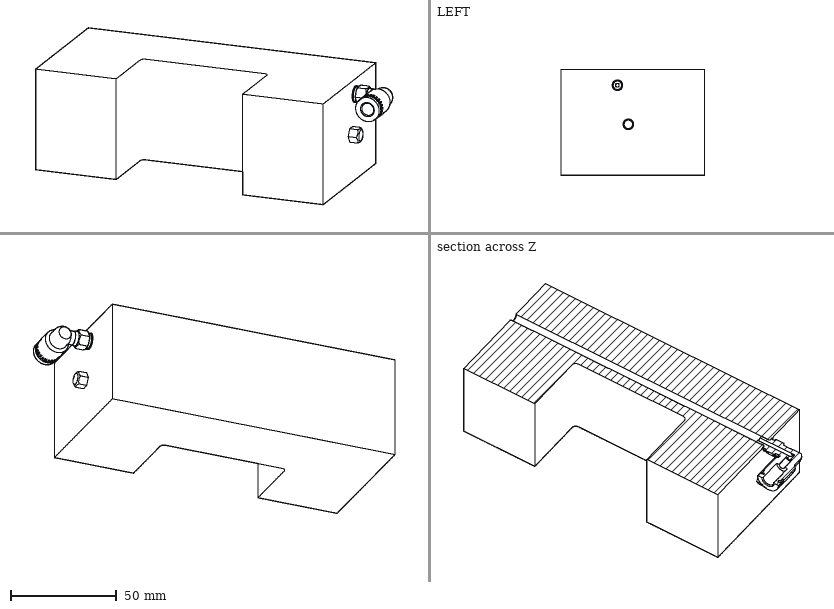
import cadquery as cq
import math

LENGTH = 146.0
DEPTH = 68.0
HEIGHT = 50.0
ARM_WIDTH = 41.0
WEB_DEPTH = 35.0
SLOT_CORNER_RADIUS = 2.0

PORT_DIAMETER = 4.0
PORT_MOUTH_DIAMETER = 5.0
PORT_CHAMFER = (PORT_MOUTH_DIAMETER - PORT_DIAMETER) / 2
STUD_LENGTH = 5.0
ELBOW_PORT_Y = DEPTH - 26.8
ELBOW_PORT_Z = HEIGHT - 7.5
PLUG_PORT_Y = ELBOW_PORT_Y - 5.2
PLUG_PORT_Z = ELBOW_PORT_Z - 18.5

PLUG_FLATS = 6.7
PLUG_HEAD_LENGTH = 5.0
PLUG_FACE_RADIUS = 2.8

RIM_CLEARANCE = 0.3

GASKET_RADIUS = 4.0
GASKET_THICKNESS = 0.5
COLLAR_RADIUS = 3.7
ELBOW_FLATS = 8.0
ELBOW_HEX_START = 1.7
ELBOW_HEX_END = 7.0
ELBOW_HEX_INNER_FACE_RADIUS = 4.2
ELBOW_HEX_OUTER_FACE_RADIUS = 3.8
SWIVEL_RADIUS = 3.5
SWIVEL_END = 8.7
ARM_RADIUS = 3.3
INLET_BORE_RADIUS = 0.8

OVERALL_LENGTH = 166.4
SLEEVE_RADIUS = 6.0
BULGE_RADIUS = 6.2
OUTLET_X = OVERALL_LENGTH - BULGE_RADIUS
KNUCKLE_RADIUS = 4.7
KNUCKLE_TOP = 3.5
KNUCKLE_END = 4.5
SLEEVE_START = 6.0
BULGE_AT = 12.6
KNURL_START = 15.3
SLEEVE_END = 17.1
RELEASE_NECK_RADIUS = 4.2
RING_START = 17.8
RING_END = 20.1
KNURL_COUNT = 24
KNURL_WIDTH = 0.7
KNURL_DEPTH = 0.7
SOCKET_RADIUS = 3.0
SOCKET_CHAMFER = 0.5
SOCKET_DEPTH = 11.6
OUTLET_BORE_RADIUS = 1.5
ORIFICE_LENGTH = 3.3


def turned_x(origin, profile):
    """Turn a closed (x, radius) profile around the X axis through origin."""
    sketch = cq.Workplane("XY", origin=origin).polyline(profile).close()
    return sketch.revolve(360, (0, 0), (1, 0))


def turned_y(origin, profile):
    """Turn a closed (radius, y) profile around the Y axis through origin."""
    sketch = cq.Workplane("XY", origin=origin).polyline(profile).close()
    return sketch.revolve(360, (0, 0), (0, 1))


def hexagon(origin, flats, start, end, inner_face_radius, outer_face_radius):
    """Hexagon bar along X, flats up and down, corners turned off at 45 degrees at the ends."""
    corner_radius = flats / math.sqrt(3)
    bar = (
        cq.Workplane("YZ", origin=origin)
        .workplane(offset=start)
        .polygon(6, 2 * corner_radius)
        .extrude(end - start)
    )
    rim_radius = corner_radius + RIM_CLEARANCE
    envelope = turned_x(origin, [
        (start, 0),
        (start, inner_face_radius),
        (start + rim_radius - inner_face_radius, rim_radius),
        (end - rim_radius + outer_face_radius, rim_radius),
        (end, outer_face_radius),
        (end, 0),
    ])
    return bar.intersect(envelope)


def stud_profile():
    """Stud from inside the port out to the housing face, filling the port's chamfered mouth."""
    return [
        (-STUD_LENGTH, 0),
        (-STUD_LENGTH, PORT_DIAMETER / 2),
        (-PORT_CHAMFER, PORT_DIAMETER / 2),
        (0, PORT_MOUTH_DIAMETER / 2),
        (0, 0),
    ]


def port(y, z):
    """Through hole along X with a chamfer at both mouths."""
    return turned_x((0, y, z), [
        (0, 0),
        (0, PORT_MOUTH_DIAMETER / 2),
        (PORT_CHAMFER, PORT_DIAMETER / 2),
        (LENGTH - PORT_CHAMFER, PORT_DIAMETER / 2),
        (LENGTH, PORT_MOUTH_DIAMETER / 2),
        (LENGTH, 0),
    ])


def make_housing():
    block = cq.Workplane("XY").box(LENGTH, DEPTH, HEIGHT, centered=False)
    slot = (
        cq.Workplane("XY", origin=(ARM_WIDTH, 0, 0))
        .box(LENGTH - 2 * ARM_WIDTH, DEPTH - WEB_DEPTH, HEIGHT, centered=False)
        .edges("|Z and >Y")
        .fillet(SLOT_CORNER_RADIUS)
    )
    block = block.cut(slot)
    block = block.cut(port(ELBOW_PORT_Y, ELBOW_PORT_Z))
    return block.cut(port(PLUG_PORT_Y, PLUG_PORT_Z))


def make_plug():
    origin = (LENGTH, PLUG_PORT_Y, PLUG_PORT_Z)
    corner_radius = PLUG_FLATS / math.sqrt(3)
    head = hexagon(origin, PLUG_FLATS, 0, PLUG_HEAD_LENGTH, corner_radius, PLUG_FACE_RADIUS)
    return head.union(turned_x(origin, stud_profile()))


def elbow_inlet(origin):
    """Stud, gasket, collar, hexagon, swivel and the arm that runs into the knuckle."""
    neck = turned_x(origin, stud_profile()[:-1] + [
        (0, GASKET_RADIUS),
        (GASKET_THICKNESS, GASKET_RADIUS),
        (GASKET_THICKNESS, COLLAR_RADIUS),
        (ELBOW_HEX_END, COLLAR_RADIUS),
        (ELBOW_HEX_END, SWIVEL_RADIUS),
        (SWIVEL_END, SWIVEL_RADIUS),
        (SWIVEL_END, ARM_RADIUS),
        (OUTLET_X - LENGTH, ARM_RADIUS),
        (OUTLET_X - LENGTH, 0),
    ])
    nut = hexagon(
        origin, ELBOW_FLATS, ELBOW_HEX_START, ELBOW_HEX_END,
        ELBOW_HEX_INNER_FACE_RADIUS, ELBOW_HEX_OUTER_FACE_RADIUS,
    )
    return neck.union(nut)


def elbow_outlet(origin):
    """Knuckle under a flat-topped spherical dome, push-in sleeve and release ring, turned as one."""
    dome_flat_radius = math.sqrt(KNUCKLE_RADIUS**2 - KNUCKLE_TOP**2)
    dome_half_angle = math.asin(KNUCKLE_TOP / KNUCKLE_RADIUS) / 2
    dome_middle = (KNUCKLE_RADIUS * math.cos(dome_half_angle), KNUCKLE_RADIUS * math.sin(dome_half_angle))
    return (
        cq.Workplane("XY", origin=origin)
        .moveTo(0, KNUCKLE_TOP)
        .lineTo(dome_flat_radius, KNUCKLE_TOP)
        .threePointArc(dome_middle, (KNUCKLE_RADIUS, 0))
        .lineTo(KNUCKLE_RADIUS, -KNUCKLE_END)
        .lineTo(SLEEVE_RADIUS, -SLEEVE_START)
        .lineTo(BULGE_RADIUS, -BULGE_AT)
        .lineTo(SLEEVE_RADIUS, -KNURL_START)
        .lineTo(SLEEVE_RADIUS, -SLEEVE_END)
        .lineTo(RELEASE_NECK_RADIUS, -SLEEVE_END)
        .lineTo(RELEASE_NECK_RADIUS, -RING_START)
        .lineTo(SLEEVE_RADIUS, -RING_START)
        .lineTo(SLEEVE_RADIUS, -RING_END)
        .lineTo(0, -RING_END)
        .close()
        .revolve(360, (0, 0), (0, 1))
    )


def knurl_notches(origin):
    """Notches around the open end of the sleeve."""
    return (
        cq.Workplane("XZ", origin=origin)
        .workplane(offset=KNURL_START)
        .polarArray(SLEEVE_RADIUS, 0, 360, KNURL_COUNT)
        .rect(2 * KNURL_DEPTH, KNURL_WIDTH)
        .extrude(SLEEVE_END - KNURL_START)
    )


def elbow_bores(inlet, outlet):
    """Bore through the stud up to the knuckle, then an orifice opening into the stepped tube socket."""
    inlet_bore = turned_x(inlet, [
        (-STUD_LENGTH, 0),
        (-STUD_LENGTH, INLET_BORE_RADIUS),
        (OUTLET_X - LENGTH, INLET_BORE_RADIUS),
        (OUTLET_X - LENGTH, 0),
    ])
    socket_floor = SOCKET_DEPTH - RING_END
    orifice_start = INLET_BORE_RADIUS - ORIFICE_LENGTH
    outlet_bore = turned_y(outlet, [
        (0, INLET_BORE_RADIUS),
        (INLET_BORE_RADIUS, INLET_BORE_RADIUS),
        (INLET_BORE_RADIUS, orifice_start),
        (OUTLET_BORE_RADIUS, orifice_start),
        (OUTLET_BORE_RADIUS, socket_floor),
        (SOCKET_RADIUS, socket_floor),
        (SOCKET_RADIUS, SOCKET_CHAMFER - RING_END),
        (SOCKET_RADIUS + SOCKET_CHAMFER, -RING_END),
        (0, -RING_END),
    ])
    return inlet_bore.union(outlet_bore)


def make_elbow():
    inlet = (LENGTH, ELBOW_PORT_Y, ELBOW_PORT_Z)
    outlet = (OUTLET_X, ELBOW_PORT_Y, ELBOW_PORT_Z)
    elbow = elbow_inlet(inlet).union(elbow_outlet(outlet))
    return elbow.cut(knurl_notches(outlet)).cut(elbow_bores(inlet, outlet))


housing = make_housing()
plug = make_plug()
elbow = make_elbow()

result = cq.Compound.makeCompound([housing.val(), plug.val(), elbow.val()])